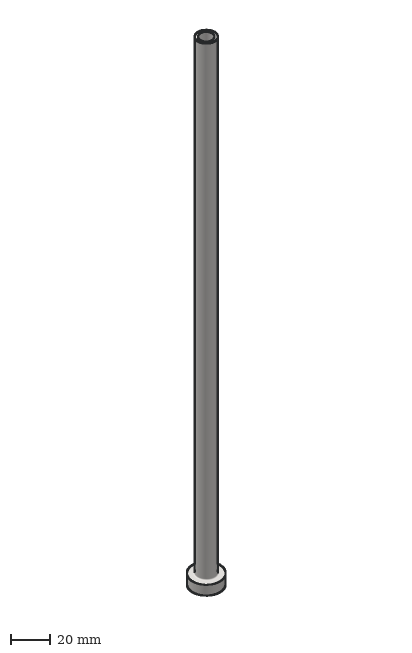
import cadquery as cq

total_length = 350.0
head_diameter = 20.0
head_height = 7.0
tube_diameter = 12.0
bore_diameter = 8.5
root_fillet_radius = 0.7

head = cq.Workplane("XY").circle(head_diameter / 2).extrude(head_height)
tube = cq.Workplane("XY").circle(tube_diameter / 2).extrude(total_length)
bore = cq.Workplane("XY").circle(bore_diameter / 2).extrude(total_length)

body = head.union(tube)
head_top = body.faces("<Z[1]")
root_edge = head_top.edges(cq.selectors.RadiusNthSelector(0))
body = root_edge.fillet(root_fillet_radius)

result = body.cut(bore)